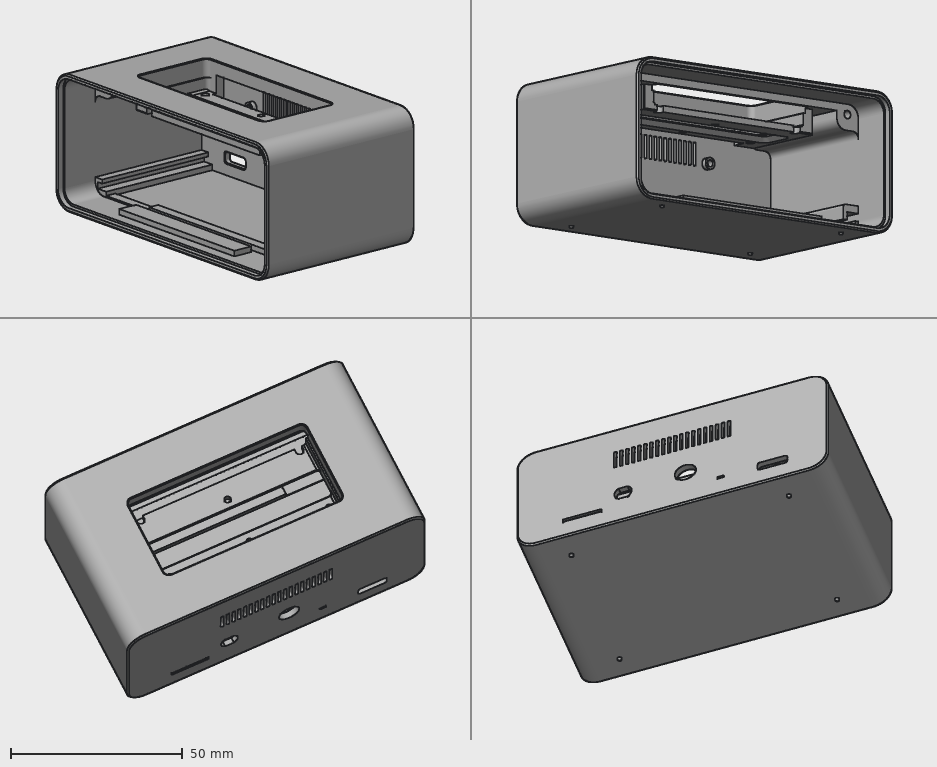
import cadquery as cq

length = 96.3
depth = 56.0
foot_radius = 0.7
height = 42.8 - foot_radius
corner_radius = 6.0
wall = 2.0
edge_chamfer = 0.5
rabbet_width = 0.7
rabbet_depth = 1.9

front_y = -depth / 2
back_y = depth / 2
back_wall_y = back_y - wall
inner_x = length / 2 - wall
inner_top = height - wall

stop_y = -14.4

floor_rail_half = 26.1
floor_rail_front = -22.1
floor_rail_back = -15.8
board_z = 3.8
board_slot = 2.0
sill_z = 2.5
sill_back = -11.0
sill_left = -21.8
left_ledge_x = -41.2
right_ledge_x = 38.0
left_stop_x = -45.0
right_stop_x = 45.0
left_lip_x = -43.0
lip_thickness = 1.25
bracket_x = 40.4
bracket_leg = 1.4
bracket_top = 10.3
bracket_web = 2.2
bracket_round = 1.0

roof_z = 37.7
lug_x = 38.0
lug_z = 32.3
lug_round = 3.3
lug_flare = 2.1
lug_hole = 2.4
lug_hole_x = 42.0
lug_hole_z = 37.0
lug_hole_depth = 7.7

holder_half = 31.9
holder_front = -11.1
holder_back = 16.4
holder_z = 30.2
holder_chamfer = 0.4
tray_z = 32.2
window_half = 28.8
window_front = -13.4
window_back = 13.5
window_round = 1.7
window_chamfer = 0.3
tray_half = 28.2
tray_top = 36.3
tray_round = window_round - (window_half - tray_half)
tray_chamfer = 0.7
gap_front = -2.1
gap_back = 6.7
gap_round = 1.0
gap_bevel = 0.3
gap_undercut = 1.5
notch_half = 24.6
notch_front = 12.1
screw_hole = 2.4
screw_x = 25.7
screw_rows = (-10.0, 10.3)
pin_hole = 2.0
pin_rows = (-5.0, 9.9)

vent_count = 20
vent_row = 35.1
vent_pitch = vent_row / (vent_count - 1)
vent_width = 1.0
vent_bottom = 24.7
vent_height = 7.0
boss_diameter = 3.5
boss_hole = 2.0
boss_height = 1.6
boss_hole_depth = 2.2
boss_x = (-22.8, 22.05)
boss_z = 25.8
round_port = 6.5
round_port_x = -4.0
round_port_z = 13.9
port_flare = 0.3
jack_diameter = 5.4
jack_height = 4.6
jack_x = 15.2
jack_z = 12.4
video_port_x = -31.0
video_port_z = 7.4
video_port_width = 9.2
video_port_height = 3.3
video_port_round = 0.9
small_port_x = -14.9
small_port_z = 7.3
small_port_width = 2.1
small_port_height = 0.9
small_port_round = 0.4
card_recess_x = (19.4, 35.0)
card_recess_z = (5.5, 8.1)
card_recess_depth = 0.8
card_slot_flare = 0.5
card_slot_x = (22.0, 33.9)
card_slot_z = (6.45, 7.6)

foot_x = (-33.4, 33.9)
foot_y = (-21.4, 20.4)


def block(x0, x1, y0, y1, z0, z1):
    """Box between two opposite corners."""
    return cq.Workplane("XY").box(x1 - x0, y1 - y0, z1 - z0, centered=False).translate((x0, y0, z0))


def sleeve(inset, y0, y1):
    """Rounded body of the shell, shrunk by an inset, between two Y planes."""
    return block(
        inset - length / 2, length / 2 - inset, y0, y1, inset, height - inset
    ).edges("|Y").fillet(corner_radius - inset)


def plane_at(y):
    """XZ sketch plane at a given Y; positive extrusion goes toward the front."""
    return cq.Workplane("XZ", origin=(0, y, 0))


def rounded_rectangle(width, tall, corner):
    return cq.Sketch().rect(width, tall).vertices().fillet(corner)


def drilled_hole(x, y, z, diameter, hole_depth):
    """Blind hole bored toward the back, ending in a conical drill tip."""
    radius = diameter / 2
    toward_back = cq.Vector(0, 1, 0)
    bore = cq.Solid.makeCylinder(radius, hole_depth, cq.Vector(x, y, z), toward_back)
    tip = cq.Solid.makeCone(radius, 0, radius, cq.Vector(x, y + hole_depth, z), toward_back)
    return cq.Workplane(bore).union(cq.Workplane(tip))


def make_shell():
    shell = sleeve(0, front_y, back_y).faces("<Y or >Y").chamfer(edge_chamfer)
    shell = shell.cut(sleeve(wall, front_y, back_wall_y))
    return shell.cut(sleeve(wall - rabbet_width, front_y, front_y + rabbet_depth))


def make_floor():
    """Board seat, board edge slots and the bar that locates the front panel."""
    slot_top = board_z + board_slot
    side = length / 2
    rail_y = (stop_y, back_wall_y)

    parts = [
        block(-floor_rail_half, floor_rail_half, floor_rail_front, floor_rail_back, 0, board_z),
        block(-side, side, stop_y, sill_back, 0, sill_z),
        block(sill_left, side, stop_y, sill_back, 0, board_z),
        block(-side, left_ledge_x, *rail_y, 0, board_z),
        block(right_ledge_x, side, *rail_y, 0, board_z),
        block(-side, left_stop_x, *rail_y, 0, slot_top),
        block(right_stop_x, side, *rail_y, 0, slot_top),
        block(-side, left_lip_x, *rail_y, slot_top, slot_top + lip_thickness),
    ]
    bracket = block(bracket_x, side, *rail_y, slot_top, bracket_top)
    bracket = bracket.edges("|Y and <X and >Z").fillet(bracket_round)
    parts.append(bracket.cut(
        block(bracket_x + bracket_leg, side, *rail_y, slot_top, bracket_top - bracket_web)
    ))

    floor = parts[0]
    for part in parts[1:]:
        floor = floor.union(part)
    return floor


def make_lug(side):
    """Corner lug for the front panel; side is -1 for left and +1 for right."""
    return (
        plane_at(back_wall_y)
        .moveTo(side * lug_x, height)
        .lineTo(side * lug_x, lug_z + lug_round)
        .radiusArc((side * (lug_x + lug_round), lug_z), side * -lug_round)
        .lineTo(side * (inner_x - lug_flare), lug_z)
        .radiusArc((side * inner_x, lug_z - lug_flare), side * lug_flare)
        .lineTo(side * length / 2, lug_z - lug_flare)
        .lineTo(side * length / 2, height)
        .close()
        .extrude(back_wall_y - stop_y)
    )


def make_holder():
    """Block carrying the display: its front lower edges are chamfered beside the screw holes."""
    holder = block(-holder_half, holder_half, holder_front, holder_back, holder_z, inner_top)
    holder = holder.faces("<Y").edges("|Z or <Z").chamfer(holder_chamfer)
    return holder.union(block(-screw_x, screw_x, holder_front, holder_back, holder_z, inner_top))


def flared_opening(half_width, y0, y1, corner, z, rise):
    """Rounded rectangle at height z, narrowing at 45 degrees over a signed rise."""
    outline = rounded_rectangle(2 * half_width, y1 - y0, corner)
    return cq.Workplane("XY", origin=(0, (y0 + y1) / 2, z)).placeSketch(outline).extrude(rise, taper=45)


def cut_display_window(body):
    window = block(-window_half, window_half, window_front, window_back, tray_top, height)
    body = body.cut(window.edges("|Z").fillet(window_round))
    body = body.cut(flared_opening(
        window_half + window_chamfer,
        window_front - window_chamfer,
        window_back + window_chamfer,
        window_round + window_chamfer,
        height, -window_chamfer,
    ))

    tray = block(-tray_half, tray_half, window_front, window_back, tray_z, tray_top)
    bevelled = tray.edges("|Y and <Z").chamfer(tray_chamfer)
    body = body.cut(tray.edges("|Z and >Y").fillet(tray_round).intersect(bevelled))

    gap = block(-tray_half, tray_half, gap_front, gap_back, holder_z, tray_z + tray_chamfer)
    body = body.cut(gap.edges("|Z").fillet(gap_round))
    body = body.cut(flared_opening(
        tray_half, gap_front - gap_bevel, gap_back + gap_bevel, gap_round, tray_z, -gap_bevel
    ))
    body = body.cut(flared_opening(
        tray_half + gap_undercut,
        gap_front - gap_undercut,
        gap_back + gap_undercut,
        gap_round + gap_undercut,
        holder_z, gap_undercut,
    ))

    body = body.cut(block(-notch_half, notch_half, notch_front, holder_back, holder_z, roof_z))

    bar = cq.Workplane("XY", origin=(0, 0, holder_z))
    screws = [(x, y) for x in (-screw_x, screw_x) for y in screw_rows]
    pins = [(0, y) for y in pin_rows]
    bar_thickness = tray_z - holder_z
    body = body.cut(bar.pushPoints(screws).circle(screw_hole / 2).extrude(bar_thickness))
    for x in (-screw_x, screw_x):
        body = body.cut(block(
            x - screw_hole / 2, x + screw_hole / 2, holder_front, screw_rows[0], holder_z, tray_z
        ))
    return body.cut(bar.pushPoints(pins).circle(pin_hole / 2).extrude(bar_thickness))


def flared_port(x, z, outline, wide_outline):
    """Opening through the back wall whose inner mouth flares at 45 degrees to the wide outline."""
    inside = plane_at(back_wall_y).center(x, z)
    port = inside.placeSketch(outline).extrude(-wall)
    return port.union(inside.placeSketch(wide_outline).extrude(-port_flare, taper=45))


def rounded_port(x, z, width, tall, corner):
    return flared_port(
        x, z,
        rounded_rectangle(width, tall, corner),
        rounded_rectangle(width + 2 * port_flare, tall + 2 * port_flare, corner + port_flare),
    )


def jack_outline(growth):
    """Circle flattened above and below."""
    diameter = jack_diameter + 2 * growth
    return cq.Sketch().circle(diameter / 2).rect(diameter, jack_height + 2 * growth, mode="i")


def cut_back_wall(body):
    inside = plane_at(back_wall_y)

    first_vent = -vent_row / 2
    vents = [(first_vent + i * vent_pitch, vent_bottom + vent_height / 2) for i in range(vent_count)]
    body = body.cut(inside.pushPoints(vents).slot2D(vent_height, vent_width, 90).extrude(-wall))

    body = body.cut(inside.center(round_port_x, round_port_z).circle(round_port / 2).extrude(-wall))
    body = body.cut(flared_port(jack_x, jack_z, jack_outline(0), jack_outline(port_flare)))

    body = body.cut(rounded_port(
        video_port_x, video_port_z, video_port_width, video_port_height, video_port_round
    ))
    body = body.cut(rounded_port(
        small_port_x, small_port_z, small_port_width, small_port_height, small_port_round
    ))

    recess_floor_y = back_wall_y + card_recess_depth
    body = body.cut(block(*card_recess_x, back_wall_y, recess_floor_y, *card_recess_z))
    card_mouth = (
        plane_at(recess_floor_y)
        .center(sum(card_slot_x) / 2, sum(card_slot_z) / 2)
        .rect(
            card_slot_x[1] - card_slot_x[0] + 2 * card_slot_flare,
            card_slot_z[1] - card_slot_z[0] + 2 * card_slot_flare,
        )
        .extrude(-card_slot_flare, taper=45)
    )
    body = body.cut(card_mouth)
    return body.cut(block(*card_slot_x, back_wall_y, back_y, *card_slot_z))


def make_boss(x):
    return plane_at(back_wall_y).center(x, boss_z).circle(boss_diameter / 2).extrude(boss_height)


trim = sleeve(wall / 2, front_y, back_wall_y)

roof = block(-inner_x, inner_x, stop_y, back_wall_y, roof_z, height)
inserts = make_floor().union(roof).union(make_lug(-1)).union(make_lug(1)).union(make_holder())
result = make_shell().union(inserts.intersect(trim))
result = cut_display_window(result)
result = cut_back_wall(result)
for x in boss_x:
    result = result.union(make_boss(x))
    result = result.cut(drilled_hole(x, back_wall_y - boss_height, boss_z, boss_hole, boss_hole_depth))
for x in (-lug_hole_x, lug_hole_x):
    result = result.cut(drilled_hole(x, stop_y, lug_hole_z, lug_hole, lug_hole_depth))
for x in foot_x:
    for y in foot_y:
        result = result.union(cq.Workplane("XY").sphere(foot_radius).translate((x, y, 0)))